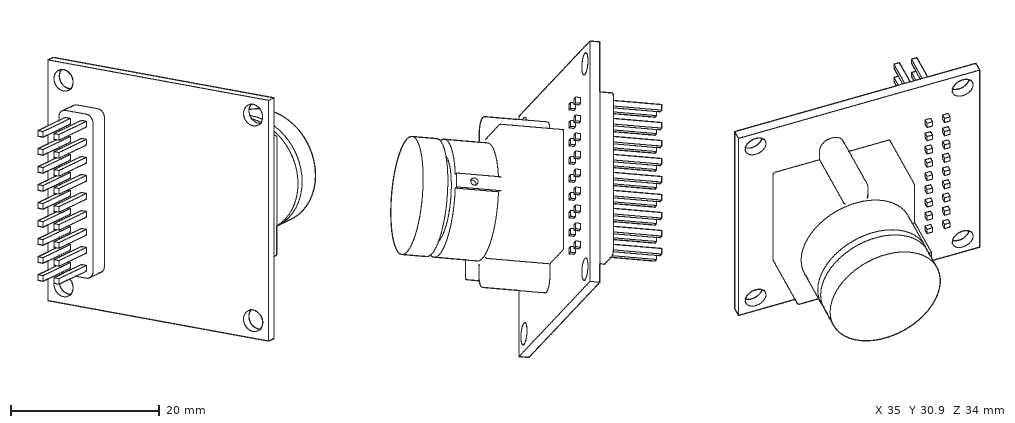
import cadquery as cq


board_width = 35.0
board_height = 34.0
board_thickness = 1.4
mount_hole_diameter = 3.0
mount_hole_inset = 2.5

header_x = -11.25
header_z = -0.18
header_width = 5.4
header_height = 23.15
header_depth = 2.95
header_corner_radius = 1.05
pin_columns = 2
pin_rows = 9
pin_row_span = 20.35
pin_pitch = pin_row_span / (pin_rows - 1)
pin_size = 0.8
pin_front_reach = 9.98
pin_back_stub = 0.7

overall_depth = 30.9
lens_x = 4.0
lens_diameter = 16.0
cap_length = 3.45
neck_diameter = 12.0
neck_length = 1.05
barrel_length = 6.05
lens_front_y = overall_depth - pin_front_reach
barrel_front_y = lens_front_y - cap_length - neck_length
housing_front_y = barrel_front_y - barrel_length

housing_size = 17.0
housing_edge_radius = 0.35
housing_front_radius = 0.2
lug_span = 24.0
lug_width = 3.5

key_width = 1.95
key_hole_diameter = 1.0
key_hole_setback = 2.52
key_hole_depth = 1.0


def plane_at(y, x=0, z=0):
    """Sketch plane facing +Y; its axes are +X and -Z, so sketches stay symmetric about its origin."""
    return cq.Workplane(cq.Plane(origin=(x, y, z), xDir=(1, 0, 0), normal=(0, 1, 0)))


def make_board():
    holes_across = board_width - 2 * mount_hole_inset
    holes_up = board_height - 2 * mount_hole_inset
    return (
        plane_at(0)
        .rect(board_width, board_height)
        .extrude(board_thickness)
        .faces(">Y")
        .workplane(origin=(0, board_thickness, 0))
        .rect(holes_across, holes_up, forConstruction=True)
        .vertices()
        .hole(mount_hole_diameter)
    )


def make_header():
    return (
        plane_at(-header_depth, header_x, header_z)
        .rect(header_width, header_height)
        .extrude(header_depth)
        .edges("|Y")
        .fillet(header_corner_radius)
    )


def make_pins():
    return (
        plane_at(-pin_front_reach, header_x, header_z)
        .rarray(pin_pitch, pin_pitch, pin_columns, pin_rows)
        .rect(pin_size, pin_size)
        .extrude(pin_front_reach + board_thickness + pin_back_stub)
    )


def make_housing():
    depth = housing_front_y - board_thickness
    block = (
        plane_at(board_thickness, lens_x)
        .rect(housing_size, housing_size)
        .extrude(depth)
        .edges("|Y")
        .fillet(housing_edge_radius)
    )
    lugs = plane_at(board_thickness, lens_x).slot2D(lug_span, lug_width, 90).extrude(depth)
    return block.union(lugs).faces(">Y").edges().fillet(housing_front_radius)


def make_lens():
    barrel_root_y = housing_front_y - housing_front_radius
    barrel = (
        plane_at(barrel_root_y, lens_x)
        .circle(lens_diameter / 2)
        .extrude(barrel_front_y - barrel_root_y)
    )
    neck = plane_at(barrel_front_y, lens_x).circle(neck_diameter / 2).extrude(neck_length)
    cap = plane_at(lens_front_y - cap_length, lens_x).circle(lens_diameter / 2).extrude(cap_length)
    return barrel.union(neck).union(cap)


def add_key(body):
    """Add the key flush with the housing side, then drill its locating hole."""
    key_root_y = housing_front_y - housing_front_radius
    key_length = barrel_front_y - key_root_y
    side_x = lens_x - housing_size / 2
    key = (
        plane_at(key_root_y, lens_x - housing_size / 4)
        .rect(housing_size / 2, key_width)
        .extrude(key_length)
    )
    hole = (
        cq.Workplane("YZ", origin=(side_x, barrel_front_y - key_hole_setback, 0))
        .circle(key_hole_diameter / 2)
        .extrude(key_hole_depth)
    )
    return body.union(key).cut(hole)


camera = add_key(make_housing().union(make_lens()))
result = make_board().union(make_header()).union(make_pins()).union(camera)